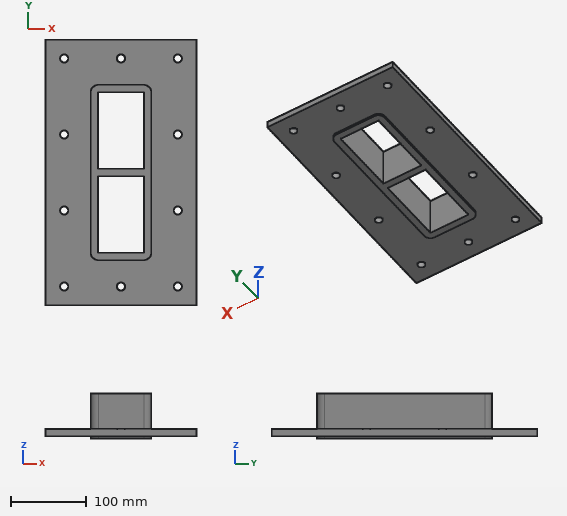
import cadquery as cq

plate_width = 200.5
plate_length = 352.0
plate_thickness = 10.0

opening_width = 60.5
opening_length = 101.0
wall = 10.0
corner_radius = 10.0
duct_height = 60.0
duct_below_plate = 3.0
duct_width = opening_width + 2 * wall
duct_length = 2 * opening_length + 3 * wall

hole_diameter = 10.5
hole_edge_margin = 25.0
holes_along_x = 3
holes_along_y = 4
hole_pitch_x = (plate_width - 2 * hole_edge_margin) / (holes_along_x - 1)
hole_pitch_y = (plate_length - 2 * hole_edge_margin) / (holes_along_y - 1)


def centred_positions(count, pitch):
    """Evenly pitched coordinates centred on zero."""
    return [(i - (count - 1) / 2) * pitch for i in range(count)]


def bolt_positions():
    """Perimeter points of the bolt grid."""
    xs = centred_positions(holes_along_x, hole_pitch_x)
    ys = centred_positions(holes_along_y, hole_pitch_y)
    side_columns = [(x, y) for x in (xs[0], xs[-1]) for y in ys]
    end_rows = [(x, y) for x in xs[1:-1] for y in (ys[0], ys[-1])]
    return side_columns + end_rows


def make_plate():
    """Flat plate with its underside on Z = 0, drilled for the bolts."""
    plate = cq.Workplane("XY").box(
        plate_width, plate_length, plate_thickness, centered=(True, True, False)
    )
    return plate.faces(">Z").workplane().pushPoints(bolt_positions()).hole(hole_diameter)


def make_duct_body():
    """Solid duct block with rounded upright corners."""
    return (
        cq.Workplane("XY")
        .workplane(offset=-duct_below_plate)
        .rect(duct_width, duct_length)
        .extrude(duct_height)
        .edges("|Z")
        .fillet(corner_radius)
    )


def make_openings():
    """The two through openings, separated by one wall thickness."""
    centres = [(0, y) for y in centred_positions(2, opening_length + wall)]
    return (
        cq.Workplane("XY")
        .workplane(offset=-duct_below_plate)
        .pushPoints(centres)
        .rect(opening_width, opening_length)
        .extrude(duct_height)
    )


result = make_plate().union(make_duct_body()).cut(make_openings())